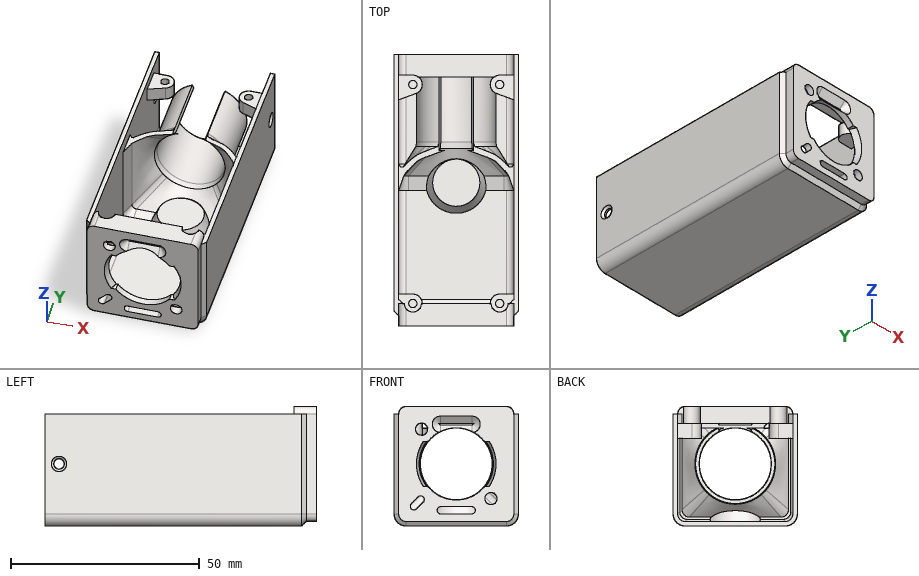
import cadquery as cq
import math


WIDTH = 33.0
LENGTH = 72.0
WALL = 1.25
WALL_TOP = 29.75
OUTER_RADIUS = 3.25
CHAMFER_START = 2.75
CHAMFER_END = CHAMFER_START + WALL
INNER_HALF = WIDTH / 2 - WALL
INNER_RADIUS = OUTER_RADIUS - WALL
AXIS_Z = WIDTH / 2

PLATE_DEPTH = 2.0
HOOD_DEPTH = 6.0
FOOT_END = 7.1
BORE_RADIUS = 9.5
RELIEF_RADIUS_FRONT = 10.55
RELIEF_RADIUS_BACK = 9.85
RELIEF_HALF_HEIGHT = 6.0
SCREW_HOLE = 3.2
SCREW_HOLE_DEPTH = 3.0
SCREW_OFFSET = 9.19
SLOT_WIDTH = 1.95
LOW_SLOT_LENGTH = 10.1
LOW_SLOT_Z = 4.22
RADIAL_SLOT_LENGTH = 4.45
RADIAL_SLOT_DISTANCE = 14.6
WINDOW_Z = 27.0
WINDOW_HALF_SPAN = 4.2
WINDOW_RADIUS_FRONT = 2.15
WINDOW_RADIUS_BACK = WINDOW_RADIUS_FRONT - PLATE_DEPTH

LUG_X = 11.5
LUG_RADIUS = 2.5
LUG_TOP = 27.25
LUG_HEIGHT = 4.0
LUG_HOLE = 2.2
LUG_HOLE_DEPTH = 3.0
LUG_CLEARANCE_RADIUS = 2.25
FRONT_LUG_Y = HOOD_DEPTH
REAR_LUG_Y = 64.0
REAR_LUG_WALL_Y = 59.95
REAR_LUG_SLANT_ANGLE = -110

SIDE_HOLE_Y = 68.25
SIDE_HOLE = 2.7
SIDE_SINK = 4.05

CRADLE_OUTER_RADIUS = 10.5
CRADLE_END = 66.0
SLIT_HALF_ANGLE = 25.5
SLIT_START = 46.6
RIM_Z = 26.0
FUNNEL_START = 35.9
MOUTH_RADIUS = 2.6
THROAT_Y = 39.8
THROAT_HALF = 13.9
THROAT_RADIUS = 1.25
FUNNEL_END = 47.0
SHELL_START = 42.1
SHELL_HALF = 14.1
SHELL_END = 47.6
COLLAR_HALF = 14.7
COLLAR_END = 42.9
NECK_FLARE = 0.2
NECK_END = 48.8
CORNER_HALF_ANGLE = math.radians(4.7)

BOSS_Y = 38.0
BOSS_BASE_RADIUS = 8.1
BOSS_TOP_RADIUS = 6.25
BOSS_TOP = 5.5


def point(y, radius, angle):
    """Point at a polar position around the bore axis, on the section at y."""
    return cq.Vector(radius * math.cos(angle), y, AXIS_Z + radius * math.sin(angle))


def rounded_square(y, half, radius):
    """Section wire at y: four sides joined by corner arcs."""
    flat = half - radius
    tip = flat + radius * math.sqrt(0.5)
    edges = []
    for quarter in range(4):
        turn = quarter * math.pi / 2

        def corner(u, v):
            return point(y, math.hypot(u, v), math.atan2(v, u) + turn)

        edges.append(cq.Edge.makeLine(corner(half, -flat), corner(half, flat)))
        edges.append(cq.Edge.makeThreePointArc(corner(half, flat), corner(tip, tip), corner(flat, half)))
    return cq.Wire.assembleEdges(edges)


def split_circle(y, radius):
    """Circle at y cut into eight arcs that pair with the edges of a rounded square."""
    edges = []
    for quarter in range(4):
        middle = quarter * math.pi / 2
        corner_start = middle + math.pi / 4 - CORNER_HALF_ANGLE
        corner_end = middle + math.pi / 4 + CORNER_HALF_ANGLE
        side_start = corner_end - math.pi / 2
        for start, end in ((side_start, corner_start), (corner_start, corner_end)):
            ends = [point(y, radius, angle) for angle in (start, (start + end) / 2, end)]
            edges.append(cq.Edge.makeThreePointArc(*ends))
    return cq.Wire.assembleEdges(edges)


def taper(first_wire, second_wire):
    return cq.Workplane(cq.Solid.makeLoft([first_wire, second_wire], True))


def square_bar(y_start, y_end, half, radius):
    return taper(rounded_square(y_start, half, radius), rounded_square(y_end, half, radius))


def cone(y_start, y_end, radius_start, radius_end, x=0, z=AXIS_Z):
    base = cq.Vector(x, y_start, z)
    return cq.Workplane(
        cq.Solid.makeCone(radius_start, radius_end, y_end - y_start, base, cq.Vector(0, 1, 0))
    )


def cylinder(y_start, y_end, radius, x=0, z=AXIS_Z):
    base = cq.Vector(x, y_start, z)
    return cq.Workplane(cq.Solid.makeCylinder(radius, y_end - y_start, base, cq.Vector(0, 1, 0)))


def box(x_range, y_range, z_range):
    sizes = [high - low for low, high in (x_range, y_range, z_range)]
    corner = cq.Vector(x_range[0], y_range[0], z_range[0])
    return cq.Workplane(cq.Solid.makeBox(*sizes, corner))


def mirror_pair(shape):
    return shape.union(shape.mirror("YZ"))


def tray():
    """Open-topped channel with a bevelled front edge."""
    bevel = taper(
        rounded_square(CHAMFER_START, INNER_HALF, INNER_RADIUS),
        rounded_square(CHAMFER_END, WIDTH / 2, OUTER_RADIUS),
    )
    body = square_bar(CHAMFER_END, LENGTH, WIDTH / 2, OUTER_RADIUS).union(bevel)
    body = body.cut(square_bar(CHAMFER_START, LENGTH, INNER_HALF, INNER_RADIUS))
    return body.intersect(box((-WIDTH, WIDTH), (0, LENGTH), (0, WALL_TOP)))


def front_plate():
    """Square plate closing the front: a deeper hood along its top, sloped feet on the floor and walls."""
    plate = square_bar(0, PLATE_DEPTH, INNER_HALF, INNER_RADIUS)
    hood = square_bar(0, HOOD_DEPTH, INNER_HALF, INNER_RADIUS)
    hood = hood.intersect(box((-WIDTH, WIDTH), (0, HOOD_DEPTH), (LUG_TOP, WIDTH)))

    foot_size = FOOT_END - PLATE_DEPTH
    hollow = (
        cq.Workplane("XY")
        .moveTo(INNER_HALF - foot_size, PLATE_DEPTH)
        .lineTo(INNER_HALF, FOOT_END)
        .lineTo(-INNER_HALF, FOOT_END)
        .lineTo(foot_size - INNER_HALF, PLATE_DEPTH)
        .close()
        .extrude(WALL_TOP)
    )
    floor_foot = (
        cq.Workplane("YZ")
        .moveTo(PLATE_DEPTH, WALL)
        .lineTo(FOOT_END, WALL)
        .lineTo(PLATE_DEPTH, WALL + foot_size)
        .close()
        .extrude(INNER_HALF, both=True)
    )
    feet = box((-INNER_HALF, INNER_HALF), (PLATE_DEPTH, FOOT_END), (0, WALL_TOP)).cut(hollow)
    section = square_bar(0, FOOT_END, INNER_HALF, INNER_RADIUS)
    feet = feet.union(floor_foot).intersect(section)
    return plate.union(hood).union(feet)


def slot(length, x, z, angle):
    """Cutter for a round-ended slot through the front plate and its foot."""
    return (
        cq.Workplane("XZ", origin=(x, 0, z))
        .slot2D(length, SLOT_WIDTH, angle)
        .extrude(-FOOT_END)
    )


def bore():
    """Bore through the plate, with a tapered relief pocket on each side."""
    relief = cone(0, PLATE_DEPTH, RELIEF_RADIUS_FRONT, RELIEF_RADIUS_BACK)
    band = box(
        (-WIDTH, WIDTH), (0, PLATE_DEPTH), (AXIS_Z - RELIEF_HALF_HEIGHT, AXIS_Z + RELIEF_HALF_HEIGHT)
    )
    return cylinder(0, PLATE_DEPTH, BORE_RADIUS).union(relief.intersect(band))


def window():
    """Slot above the bore that narrows to a thin slit toward the back."""
    ramp = (
        cq.Workplane("YZ", origin=(-WINDOW_HALF_SPAN, 0, WINDOW_Z))
        .moveTo(0, -WINDOW_RADIUS_FRONT)
        .lineTo(0, WINDOW_RADIUS_FRONT)
        .lineTo(PLATE_DEPTH, WINDOW_RADIUS_BACK)
        .lineTo(PLATE_DEPTH, -WINDOW_RADIUS_BACK)
        .close()
        .extrude(2 * WINDOW_HALF_SPAN)
    )
    end = cone(0, PLATE_DEPTH, WINDOW_RADIUS_FRONT, WINDOW_RADIUS_BACK, WINDOW_HALF_SPAN, WINDOW_Z)
    return ramp.union(mirror_pair(end))


def plate_openings():
    cutter = bore().union(window())
    for side in (-1, 1):
        cutter = cutter.union(
            cylinder(
                0, SCREW_HOLE_DEPTH, SCREW_HOLE / 2, side * SCREW_OFFSET, AXIS_Z - side * SCREW_OFFSET
            )
        )
    cutter = cutter.union(slot(LOW_SLOT_LENGTH, 0, LOW_SLOT_Z, 0))
    diagonal = RADIAL_SLOT_DISTANCE * math.sqrt(0.5)
    return cutter.union(slot(RADIAL_SLOT_LENGTH, -diagonal, AXIS_Z - diagonal, 45))


def lug(y, wall_y, slant_angle):
    """Screw lug on the +X wall: a round end, square to the wall at the back.

    In front, a straight side runs from the wall at wall_y to the round end at slant_angle.
    """
    def rim(degrees):
        angle = math.radians(degrees)
        return LUG_X + LUG_RADIUS * math.cos(angle), y + LUG_RADIUS * math.sin(angle)

    return (
        cq.Workplane("XY", origin=(0, 0, LUG_TOP - LUG_HEIGHT))
        .moveTo(INNER_HALF, wall_y)
        .lineTo(*rim(slant_angle))
        .threePointArc(rim(180), rim(90))
        .lineTo(INNER_HALF, y + LUG_RADIUS)
        .close()
        .extrude(LUG_HEIGHT)
    )


def cradle():
    """Slit tube joined to the tray by a flared, open-topped funnel."""
    block = square_bar(FUNNEL_START, SHELL_START, INNER_HALF, INNER_RADIUS)
    collar = square_bar(SHELL_START, COLLAR_END, INNER_HALF, INNER_RADIUS).cut(
        taper(
            rounded_square(SHELL_START, COLLAR_HALF, INNER_RADIUS),
            rounded_square(COLLAR_END, INNER_HALF, INNER_RADIUS),
        )
    )
    outer_neck = CRADLE_OUTER_RADIUS + NECK_FLARE
    flare = taper(
        rounded_square(SHELL_START, SHELL_HALF, INNER_RADIUS), split_circle(SHELL_END, outer_neck)
    )
    neck = cone(SHELL_END, NECK_END, outer_neck, CRADLE_OUTER_RADIUS)
    tube = cylinder(NECK_END, CRADLE_END, CRADLE_OUTER_RADIUS)
    shell = block.union(collar).union(flare).union(neck).union(tube)

    inner_neck = BORE_RADIUS + NECK_FLARE
    mouth = taper(
        rounded_square(FUNNEL_START, INNER_HALF, MOUTH_RADIUS),
        rounded_square(THROAT_Y, THROAT_HALF, THROAT_RADIUS),
    )
    funnel = taper(
        rounded_square(THROAT_Y, THROAT_HALF, THROAT_RADIUS), split_circle(FUNNEL_END, inner_neck)
    )
    shell = shell.cut(mouth).cut(funnel)
    shell = shell.cut(cone(FUNNEL_END, NECK_END, inner_neck, BORE_RADIUS))
    shell = shell.cut(cylinder(NECK_END, CRADLE_END, BORE_RADIUS))
    shell = shell.intersect(box((-WIDTH, WIDTH), (0, LENGTH), (0, RIM_Z)))

    half_spread = CRADLE_OUTER_RADIUS * math.tan(math.radians(SLIT_HALF_ANGLE))
    slit = (
        cq.Workplane("XZ", origin=(0, SLIT_START, AXIS_Z))
        .lineTo(half_spread, CRADLE_OUTER_RADIUS)
        .lineTo(-half_spread, CRADLE_OUTER_RADIUS)
        .close()
        .extrude(SLIT_START - LENGTH)
    )
    return shell.cut(slit)


def boss():
    """Tapered round boss standing on the floor."""
    base = cq.Vector(0, BOSS_Y, WALL)
    return cq.Workplane(cq.Solid.makeCone(BOSS_BASE_RADIUS, BOSS_TOP_RADIUS, BOSS_TOP - WALL, base))


def side_hole():
    """Countersunk hole through the +X wall."""
    sink_depth = (SIDE_SINK - SIDE_HOLE) / 2
    start = cq.Vector(WIDTH / 2, SIDE_HOLE_Y, AXIS_Z)
    inward = cq.Vector(-1, 0, 0)
    hole = cq.Solid.makeCylinder(SIDE_HOLE / 2, WALL, start, inward)
    sink = cq.Solid.makeCone(SIDE_SINK / 2, SIDE_HOLE / 2, sink_depth, start, inward)
    return cq.Workplane(hole).union(cq.Workplane(sink))


def vertical_cylinder(x, y, z, radius, height):
    return cq.Workplane("XY", origin=(x, y, z)).circle(radius).extrude(height)


def lug_clearance():
    """Room above the front lug, bitten out of the plate's hood."""
    return vertical_cylinder(LUG_X, FRONT_LUG_Y, LUG_TOP, LUG_CLEARANCE_RADIUS, WIDTH - LUG_TOP)


def assemble():
    body = tray().union(front_plate()).union(cradle()).union(boss())
    body = body.cut(mirror_pair(lug_clearance()))
    front_lug = lug(FRONT_LUG_Y, FRONT_LUG_Y, 0)
    rear_lug = lug(REAR_LUG_Y, REAR_LUG_WALL_Y, REAR_LUG_SLANT_ANGLE)
    body = body.union(mirror_pair(front_lug)).union(mirror_pair(rear_lug))
    for y in (FRONT_LUG_Y, REAR_LUG_Y):
        hole = vertical_cylinder(LUG_X, y, LUG_TOP - LUG_HOLE_DEPTH, LUG_HOLE / 2, LUG_HOLE_DEPTH)
        body = body.cut(mirror_pair(hole))
    body = body.cut(mirror_pair(side_hole()))
    return body.cut(plate_openings())


result = assemble()